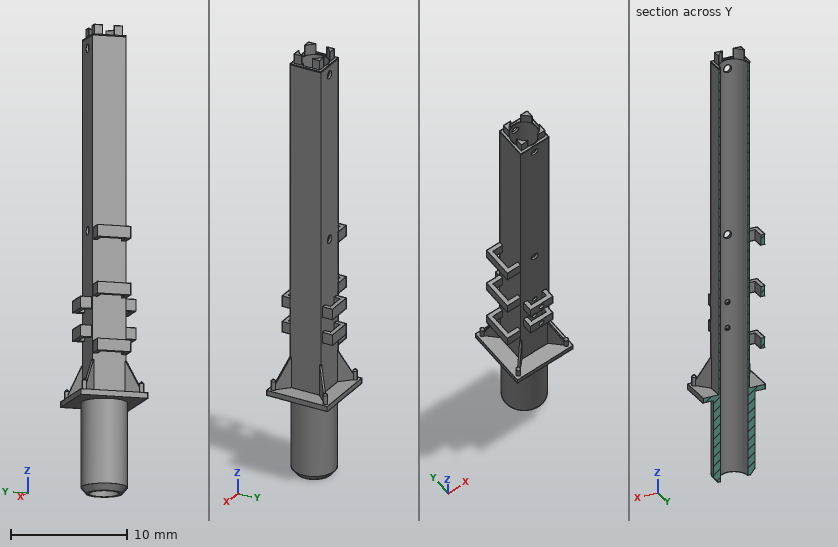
import cadquery as cq
import math

SPIGOT_DIAMETER = 4.0
SPIGOT_LENGTH = 7.98
SPIGOT_CHAMFER_HEIGHT = 0.55
SPIGOT_CHAMFER_WIDTH = 0.45
BORE_DIAMETER = 2.6

FLANGE_SIDE = 6.0
FLANGE_THICKNESS = 0.5
FLANGE_TOP = SPIGOT_LENGTH + FLANGE_THICKNESS
PIN_DIAMETER = 0.4
PIN_SHAFT_HEIGHT = 0.8
PIN_TIP_HEIGHT = 0.2
PIN_OFFSET = 2.58
GUSSET_HEIGHT = 2.95
GUSSET_PIN_HEIGHT = 0.25
GUSSET_THICKNESS = 0.185

TUBE_SIDE = 3.03
CROSS_HOLE_DIAMETER = 0.75
CROSS_HOLE_HEIGHTS = [23.0, 39.0]

STRAP_HEIGHT = 1.02
STRAP_WALL = 0.4
SIDE_STRAP_WIDTH = 3.0
SIDE_STRAP_REACH = 1.45
SIDE_STRAP_BOTTOM = 12.0
SIDE_STRAP_PITCH = 5.0
SIDE_STRAP_COUNT = 3
FACE_STRAP_WIDTH = 2.4
FACE_STRAP_REACH = 1.0
FACE_STRAP_BOTTOM = 13.45
FACE_STRAP_PITCH = 2.5
FACE_STRAP_COUNT = 2
STRAP_HOLE_DIAMETER = 0.5

TOTAL_HEIGHT = 40.9
POST_HEIGHT = 0.9
PLATE_TOP = TOTAL_HEIGHT - POST_HEIGHT
PLATE_THICKNESS = 0.102
TUBE_TOP = PLATE_TOP - PLATE_THICKNESS
POST_WIDTH = 0.75
POST_SQUARE = 2.55

CORNER_ANGLES = [45, 135, 225, 315]
QUARTER_TURNS = [0, 90, 180, 270]
FACE_STRAP_TURNS = [0, 180]


def block(size_x, size_y, bottom, top):
    """Upright block centred on the Z axis."""
    return cq.Workplane("XY").workplane(offset=bottom).rect(size_x, size_y).extrude(top - bottom)


def rod(diameter, bottom, top):
    """Upright cylinder on the Z axis."""
    return cq.Workplane("XY").workplane(offset=bottom).circle(diameter / 2).extrude(top - bottom)


def spigot():
    """Round spigot with a tapered lower end."""
    radius = SPIGOT_DIAMETER / 2
    return (
        cq.Workplane("XZ")
        .moveTo(0, 0)
        .lineTo(radius - SPIGOT_CHAMFER_WIDTH, 0)
        .lineTo(radius, SPIGOT_CHAMFER_HEIGHT)
        .lineTo(radius, SPIGOT_LENGTH)
        .lineTo(0, SPIGOT_LENGTH)
        .close()
        .revolve(360, (0, 0, 0), (0, 1, 0))
    )


def pin():
    """Round pin with a conical tip, standing on the flange."""
    radius = PIN_DIAMETER / 2
    shaft_top = FLANGE_TOP + PIN_SHAFT_HEIGHT
    return (
        cq.Workplane("XZ")
        .moveTo(0, FLANGE_TOP)
        .lineTo(radius, FLANGE_TOP)
        .lineTo(radius, shaft_top)
        .lineTo(0, shaft_top + PIN_TIP_HEIGHT)
        .close()
        .revolve(360, (0, 0, 0), (0, 1, 0))
    )


def corner_brace(angle):
    """Corner pin and the thin sloping gusset that ties it to the tube corner."""
    tube_corner = TUBE_SIDE / 2 * math.sqrt(2)
    pin_distance = PIN_OFFSET * math.sqrt(2)
    gusset = (
        cq.Workplane("XZ")
        .moveTo(tube_corner - GUSSET_THICKNESS, FLANGE_TOP)
        .lineTo(pin_distance, FLANGE_TOP)
        .lineTo(pin_distance, FLANGE_TOP + GUSSET_PIN_HEIGHT)
        .lineTo(tube_corner, FLANGE_TOP + GUSSET_HEIGHT)
        .lineTo(tube_corner - GUSSET_THICKNESS, FLANGE_TOP + GUSSET_HEIGHT)
        .close()
        .extrude(GUSSET_THICKNESS / 2, both=True)
    )
    return gusset.union(pin().translate((pin_distance, 0, 0))).rotate((0, 0, 0), (0, 0, 1), angle)


def strap(width, reach, bottom):
    """Three-sided strap that stands out from the -Y face of the tube."""
    start = -TUBE_SIDE / 2
    top = bottom + STRAP_HEIGHT
    outer = block(width, reach, bottom, top).translate((0, start - reach / 2, 0))
    gap_reach = reach - STRAP_WALL
    gap = block(width - 2 * STRAP_WALL, gap_reach, bottom, top).translate((0, start - gap_reach / 2, 0))
    return outer.cut(gap)


def side_strap(index):
    """Wide strap on the -X face."""
    bottom = SIDE_STRAP_BOTTOM + index * SIDE_STRAP_PITCH
    return strap(SIDE_STRAP_WIDTH, SIDE_STRAP_REACH, bottom).rotate((0, 0, 0), (0, 0, 1), -90)


def face_strap(index, angle):
    """Narrow strap on the -Y face, turned by angle about the Z axis."""
    bottom = FACE_STRAP_BOTTOM + index * FACE_STRAP_PITCH
    return strap(FACE_STRAP_WIDTH, FACE_STRAP_REACH, bottom).rotate((0, 0, 0), (0, 0, 1), angle)


def strap_hole(index):
    """Drill from the bore axis out through the -Y tube wall and the -Y strap."""
    height = FACE_STRAP_BOTTOM + index * FACE_STRAP_PITCH + STRAP_HEIGHT / 2
    return (
        cq.Workplane("XZ", origin=(0, 0, height))
        .circle(STRAP_HOLE_DIAMETER / 2)
        .extrude(TUBE_SIDE / 2 + FACE_STRAP_REACH)
    )


def build_mast():
    """Spigot, flange, square tube, gussets and straps as one bored solid."""
    body = spigot()
    body = body.union(block(FLANGE_SIDE, FLANGE_SIDE, SPIGOT_LENGTH, FLANGE_TOP))
    body = body.union(block(TUBE_SIDE, TUBE_SIDE, FLANGE_TOP, TUBE_TOP))
    for angle in CORNER_ANGLES:
        body = body.union(corner_brace(angle))
    for index in range(SIDE_STRAP_COUNT):
        body = body.union(side_strap(index))
    for index in range(FACE_STRAP_COUNT):
        for angle in FACE_STRAP_TURNS:
            body = body.union(face_strap(index, angle))
        body = body.cut(strap_hole(index))
    body = body.cut(rod(BORE_DIAMETER, 0, TUBE_TOP))
    for height in CROSS_HOLE_HEIGHTS:
        cross_hole = (
            cq.Workplane("XZ", origin=(0, 0, height))
            .circle(CROSS_HOLE_DIAMETER / 2)
            .extrude(TUBE_SIDE, both=True)
        )
        body = body.cut(cross_hole)
    return body


def build_cap():
    """Thin square plate with a post at each corner of its bore, hollowed by the bore."""
    plate = block(TUBE_SIDE, TUBE_SIDE, TUBE_TOP, PLATE_TOP)
    post_offset = (POST_SQUARE - POST_WIDTH) / 2
    post = block(POST_WIDTH, POST_WIDTH, PLATE_TOP, TOTAL_HEIGHT).translate((post_offset, post_offset, 0))
    for angle in QUARTER_TURNS:
        plate = plate.union(post.rotate((0, 0, 0), (0, 0, 1), angle))
    return plate.cut(rod(BORE_DIAMETER, TUBE_TOP, TOTAL_HEIGHT))


mast = build_mast()
cap = build_cap()

result = cq.Compound.makeCompound([mast.val(), cap.val()])